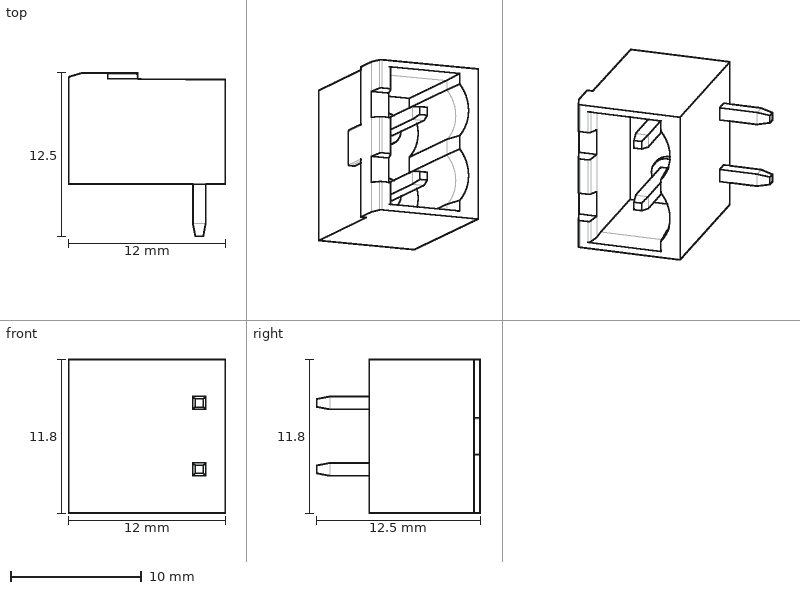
import cadquery as cq
import math


pole_count = 2
pitch = 5.08
end_margin = 3.34
pole_zs = [(i - (pole_count - 1) / 2) * pitch for i in range(pole_count)]

length = 12.0
width = (pole_count - 1) * pitch + 2 * end_margin
half_width = width / 2
back_height = 8.0
ridge_height = 8.5
ridge_length = 3.0
ridge_foot_height = 8.05
nose_height = 8.2
nose_chamfer_length = 1.0
nose_radius = 0.15

socket_floor_x = 9.0
socket_roof = 7.05
side_wall = 0.5
step_height = 1.55
lobe_radius = 3.1
mouth_draft_depth = 2.0
side_draft = 0.16
step_draft = 0.2
lobe_draft = 0.2
collar_diameter = 2.5
collar_height = 0.5

lead_in_height = 7.3
lead_in_length = 1.0
lip_radius = 0.2

notch_mouth_width = 2.25
notch_back_width = 2.02
notch_depth = 1.0

rib_end_x = 5.3
rib_width = pitch - notch_mouth_width
rib_radius = 0.1

pin_size = 1.0
pin_tip_size = 0.62
pin_tip_length = 1.0
pin_y = 3.91
pin_front_x = 1.5
leg_x = 10.0
leg_length = 4.0


def housing():
    """Block with the raised, chamfered ridge along the mouth."""
    block = (
        cq.Workplane("XY", origin=(0, 0, -half_width))
        .polyline([
            (0, 0),
            (length, 0),
            (length, back_height),
            (ridge_length, ridge_foot_height),
            (ridge_length, ridge_height),
            (nose_chamfer_length, ridge_height),
            (0, nose_height),
        ])
        .close()
        .extrude(width)
    )
    nose_edge = cq.selectors.NearestToPointSelector((0, nose_height, 0))
    return block.edges(nose_edge).fillet(nose_radius)


def socket_outline(x, half_span, step, radius):
    """Closed socket wire at depth x, with a round lobe below each pin."""
    lobe_half = math.sqrt(radius**2 - (pin_y - step) ** 2)
    outline = (
        cq.Workplane("YZ", origin=(x, 0, 0))
        .moveTo(lead_in_height, -half_span)
        .lineTo(step, -half_span)
    )
    for z in pole_zs:
        outline = outline.lineTo(step, z - lobe_half)
        outline = outline.threePointArc((pin_y - radius, z), (step, z + lobe_half))
    return outline.lineTo(step, half_span).lineTo(lead_in_height, half_span).close()


def socket():
    """Socket cavity: drafted at the mouth, straight behind it."""
    mouth_half = half_width - side_wall
    inner = (mouth_half - side_draft, step_height + step_draft, lobe_radius - lobe_draft)
    mouth_wire = socket_outline(0, mouth_half, step_height, lobe_radius).val()
    inner_wire = socket_outline(mouth_draft_depth, *inner).val()
    mouth = cq.Workplane(obj=cq.Solid.makeLoft([mouth_wire, inner_wire], True))
    straight = socket_outline(mouth_draft_depth, *inner).extrude(socket_floor_x - mouth_draft_depth)
    return mouth.union(straight).intersect(roof_profile())


def roof_profile():
    """Full-width prism below the socket roof, whose roof rises toward the mouth."""
    return (
        cq.Workplane("XY", origin=(0, 0, -half_width))
        .polyline([
            (0, 0),
            (0, lead_in_height),
            (lead_in_length, socket_roof),
            (socket_floor_x, socket_roof),
            (socket_floor_x, 0),
        ])
        .close()
        .extrude(width)
    )


def round_lip(body):
    """Round the edge where the socket roof meets the mouth face."""
    lip_edge = cq.selectors.NearestToPointSelector((0, lead_in_height, 0))
    return body.edges(lip_edge).fillet(lip_radius)


def notch(z):
    """Notch through the ridge above one pin, narrowing away from the mouth."""
    mouth_half = notch_mouth_width / 2
    back_half = notch_back_width / 2
    return (
        cq.Workplane("XZ", origin=(0, socket_roof, z))
        .polyline([
            (0, -mouth_half),
            (notch_depth, -back_half),
            (notch_depth, back_half),
            (0, mouth_half),
        ])
        .close()
        .extrude(-(ridge_height - socket_roof))
    )


def rib():
    """Rib continuing the ridge toward the back, with rounded edges at its two ends."""
    rib_length = rib_end_x - ridge_length
    return (
        cq.Workplane("XY")
        .box(rib_length, ridge_height - socket_roof, rib_width, centered=(False, False, True))
        .translate((ridge_length, socket_roof, 0))
        .faces("<Z or >Z")
        .edges(">X or >Y")
        .fillet(rib_radius)
    )


def square_pin(plane, body_length):
    """Square bar along the plane normal, ending in a tapered tip."""
    bar_length = body_length - pin_tip_length
    bar = cq.Workplane(plane).rect(pin_size, pin_size).extrude(bar_length)
    tip = (
        bar.faces(cq.selectors.DirectionMinMaxSelector(plane.zDir))
        .workplane()
        .rect(pin_size, pin_size)
        .workplane(offset=pin_tip_length)
        .rect(pin_tip_size, pin_tip_size)
        .loft(ruled=True, combine=False)
    )
    return bar.union(tip)


def bent_pin(z):
    """Right-angle pin: contact toward the mouth, leg down through the base."""
    contact_start = leg_x + pin_size / 2
    contact_plane = cq.Plane(origin=(contact_start, pin_y, z), xDir=(0, 1, 0), normal=(-1, 0, 0))
    leg_plane = cq.Plane(origin=(leg_x, pin_y, z), xDir=(1, 0, 0), normal=(0, -1, 0))
    contact = square_pin(contact_plane, contact_start - pin_front_x)
    leg = square_pin(leg_plane, pin_y + leg_length)
    return contact.union(leg)


def collar(z):
    """Low round collar on the socket floor around one pin."""
    return (
        cq.Workplane("YZ", origin=(socket_floor_x, pin_y, z))
        .circle(collar_diameter / 2)
        .extrude(-collar_height)
    )


part = round_lip(housing().union(rib()).cut(socket()))
for pole_z in pole_zs:
    part = part.cut(notch(pole_z)).union(collar(pole_z)).union(bent_pin(pole_z))

result = part